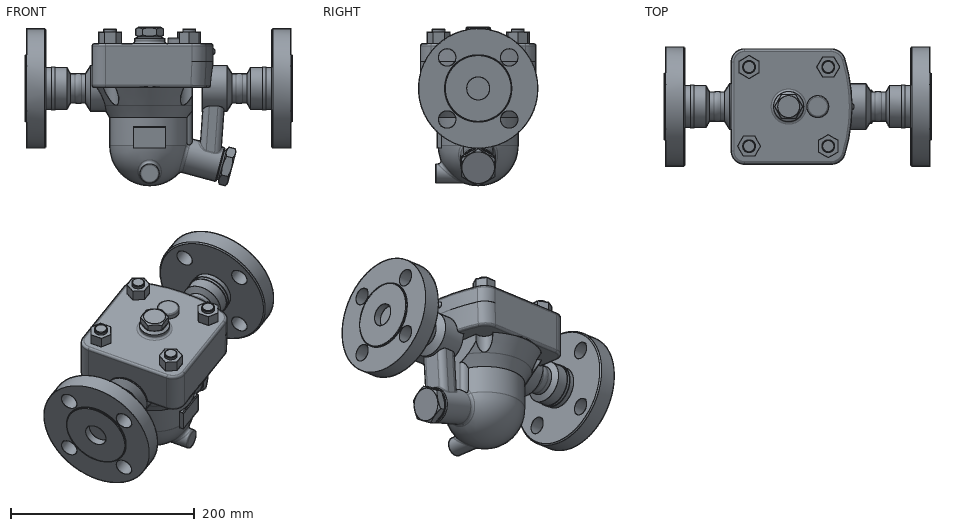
import cadquery as cq
import math


length = 291.0
flange_dia = 130.0
flange_thickness = 21.0
flange_edge_chamfer = 1.5
raised_face_dia = 73.3
raised_face_height = 1.7
raised_face_chamfer = 1.0
bore_dia = 25.0
bore_depth = 8.7
bolt_hole_dia = 19.0
bolt_circle_dia = 95.5

hub_dia = 46.0
hub_end = 99.8
hub_taper_end = 96.0
weld_ring_dia = 47.0
weld_ring_outer = 116.7
weld_ring_inner = 113.0
pipe_dia = 32.0
bead_dia = 33.2
bead_outer = 91.0
bead_inner = 83.8
socket_dia = 50.0
socket_taper_start = 79.7
socket_taper_end = 74.2
outlet_end = 47.0
inlet_end = 23.3

bowl_x = -10.0
block_left = -72.5
block_right = 59.0
block_half_width = 63.0
block_bottom = 1.0
split_z = 29.0
cover_top = 49.0
bulge_radius = 177.5
body_lean = 2.6
left_corner_radius = 14.5
right_corner_radius = 16.0
cover_edge_radius = 3.0
body_edge_radius = 2.5

stud_offset = 43.0
stud_dia = 14.0
stud_top = 65.0
stud_chamfer = 1.0
nut_corner_dia = 25.0
nut_height = 12.5

plug_ring_dia = 33.0
plug_ring_height = 5.2
plug_foot_dia = 38.0
plug_neck_dia = 25.0
plug_hex_bottom = 56.2
plug_top = 66.5
plug_corner_dia = 30.5
plug_chamfer_dia = 24.0
cover_boss_dia = 24.0
cover_boss_height = 6.0
cover_boss_edge = 1.5
cover_boss_offset = 31.7
nub_radius = 3.8
nub_x = 57.5
nub_z = 40.2

bowl_radius = 43.6
bowl_center_z = -62.3
neck_top_radius = 62.5
neck_seam_radius = 51.2
neck_seam_z = -18.5
bowl_rim_z = -31.7
scallop_dia = 19.0

pad_width = 35.0
pad_bottom = -64.5
pad_top = -41.3
pad_face_y = -44.8
pad_chamfer = 1.2
drain_dia = 21.0
drain_z = -92.5
drain_face_y = -46.3
drain_root_radius = 3.2
drain_edge_radius = 1.02

strainer_tilt = 15.0
strainer_dia = 38.0
strainer_length = 80.0
strainer_chamfer = 1.2
strainer_root_radius = 4.5
cap_seat_dia = 33.0
cap_start = 82.0
cap_end = 92.5
cap_corner_dia = 42.0
cap_chamfer_dia = 35.5
leg_width = 23.3
leg_thickness = 32.0
leg_corner_radius = 7.0
leg_center_x = 58.8
leg_center_z = -32.5
leg_tilt = 4.0
leg_above = 17.5
leg_below = 43.6
leg_root_radius = 1.5
rib_face_x = 36.7
rib_bottom = -64.0
rib_top = -21.8
gap_bottom = -54.5
gap_half_width = 40.7


def cylinder(dia, bottom, top, x=0.0, y=0.0):
    """Vertical cylinder between two heights."""
    return cq.Workplane("XY", origin=(x, y, bottom)).circle(dia / 2).extrude(top - bottom)


def stud_places():
    """Positions of the four studs around the bowl axis."""
    return [
        (bowl_x + x_side * stud_offset, y_side * stud_offset)
        for x_side in (-1, 1)
        for y_side in (-1, 1)
    ]


def hexagon(corner_dia, bottom, top, angle=0):
    """Hexagonal prism on the Z axis; at angle 0 two corners lie on X."""
    prism = cq.Workplane("XY", origin=(0, 0, bottom)).polygon(6, corner_dia).extrude(top - bottom)
    return prism.rotate((0, 0, 0), (0, 0, 1), angle)


def chamfered_hexagon(corner_dia, chamfer_dia, bottom, top):
    """Hexagonal head with the corners of both ends turned down by 30 degree cones."""
    drop = (corner_dia - chamfer_dia) / 2 * math.tan(math.radians(30))
    outer, inner = corner_dia / 2, chamfer_dia / 2
    points = [
        (0, bottom),
        (inner, bottom),
        (outer, bottom + drop),
        (outer, top - drop),
        (inner, top),
        (0, top),
    ]
    envelope = cq.Workplane("XZ").polyline(points).close().revolve(360, (0, 0), (0, 1))
    return hexagon(corner_dia, bottom, top).intersect(envelope)


def pipe_end(inner_end):
    """Flange, hub, pipe and socket on the +X side, starting at inner_end."""
    flange_front = length / 2 - raised_face_height
    flange_back = flange_front - flange_thickness
    flange_r, raised_r = flange_dia / 2, raised_face_dia / 2
    hub_r, ring_r, pipe_r = hub_dia / 2, weld_ring_dia / 2, pipe_dia / 2
    socket_r = socket_dia / 2
    bead_middle = ((bead_outer + bead_inner) / 2, bead_dia / 2)
    profile = (
        cq.Workplane("XY")
        .moveTo(inner_end, 0)
        .lineTo(inner_end, socket_r)
        .lineTo(socket_taper_end, socket_r)
        .lineTo(socket_taper_start, pipe_r)
        .lineTo(bead_inner, pipe_r)
        .threePointArc(bead_middle, (bead_outer, pipe_r))
        .lineTo(hub_taper_end, pipe_r)
        .lineTo(hub_end, hub_r)
        .lineTo(weld_ring_inner, hub_r)
        .lineTo(weld_ring_inner, ring_r)
        .lineTo(weld_ring_outer, ring_r)
        .lineTo(weld_ring_outer, hub_r)
        .lineTo(flange_back, hub_r)
        .lineTo(flange_back, flange_r - flange_edge_chamfer)
        .lineTo(flange_back + flange_edge_chamfer, flange_r)
        .lineTo(flange_front, flange_r)
        .lineTo(flange_front, raised_r)
        .lineTo(length / 2 - raised_face_chamfer, raised_r)
        .lineTo(length / 2, raised_r - raised_face_chamfer)
        .lineTo(length / 2, 0)
        .close()
    )
    solid = profile.revolve(360, (0, 0), (1, 0))
    bore = cq.Workplane("YZ", origin=(length / 2 - bore_depth, 0, 0)).circle(bore_dia / 2).extrude(bore_depth)
    bolt_holes = (
        cq.Workplane("YZ", origin=(flange_back, 0, 0))
        .polarArray(bolt_circle_dia / 2, 45, 360, 4)
        .circle(bolt_hole_dia / 2)
        .extrude(flange_thickness)
    )
    return solid.cut(bore).cut(bolt_holes)


def block_slab(bottom, top, lean=0):
    """Rounded slab with a bulged right side that leans inward towards its bottom."""
    slab = cq.Workplane("XY").box(
        block_right - block_left, 2 * block_half_width, top - bottom, centered=(False, True, False)
    )
    slab = slab.translate((block_left, 0, bottom))
    bulge = cylinder(2 * bulge_radius, bottom - block_half_width, top + block_half_width)
    bulge = bulge.translate((block_right - bulge_radius, 0, 0))
    bulge = bulge.rotate((block_right, 0, split_z), (block_right, 1, split_z), lean)
    slab = slab.intersect(bulge)
    for x_from, x_to, radius in (
        (block_left - 3, bowl_x, left_corner_radius),
        (bowl_x, block_right + 3, right_corner_radius),
    ):
        upright_edges = cq.selectors.BoxSelector(
            (x_from, -block_half_width - 3, bottom + 3), (x_to, block_half_width + 3, top - 3)
        )
        slab = slab.edges(upright_edges).fillet(radius)
    return slab


def block():
    """Cover on top of the body flange."""
    cover = block_slab(split_z, cover_top).faces(">Z").edges().fillet(cover_edge_radius)
    body = block_slab(block_bottom, split_z, body_lean).faces("<Z").edges().fillet(body_edge_radius)
    return cover.union(body)


def stud_and_nut(x, y, angle):
    """Hexagonal nut with the chamfered stud end standing out of it."""
    nut = hexagon(nut_corner_dia, cover_top, cover_top + nut_height, angle).translate((x, y, 0))
    stud = cylinder(stud_dia, cover_top, stud_top, x, y).faces(">Z").chamfer(stud_chamfer)
    return nut.union(stud)


def vent_plug():
    """Hexagonal plug on a ring that flares into the cover."""
    ring_r, foot_r, neck_r = plug_ring_dia / 2, plug_foot_dia / 2, plug_neck_dia / 2
    flare = foot_r - ring_r
    flare_middle = (foot_r - flare * math.sin(math.pi / 4), cover_top + flare * (1 - math.cos(math.pi / 4)))
    ring_top = cover_top + plug_ring_height
    seat = (
        cq.Workplane("XZ")
        .moveTo(0, cover_top)
        .lineTo(foot_r, cover_top)
        .threePointArc(flare_middle, (ring_r, cover_top + flare))
        .lineTo(ring_r, ring_top)
        .lineTo(neck_r, plug_hex_bottom)
        .lineTo(0, plug_hex_bottom)
        .close()
        .revolve(360, (0, 0), (0, 1))
    )
    head = chamfered_hexagon(plug_corner_dia, plug_chamfer_dia, plug_hex_bottom, plug_top)
    return seat.union(head).translate((bowl_x, 0, 0))


def cover_boss():
    boss_x = bowl_x + cover_boss_offset
    boss = cylinder(cover_boss_dia, cover_top, cover_top + cover_boss_height, boss_x)
    return boss.faces(">Z").edges().fillet(cover_boss_edge)


def side_nub():
    return cq.Workplane("XY").sphere(nub_radius).translate((nub_x, 0, nub_z))


def neck_and_bowl():
    """Flared neck, cone, straight wall and hemispherical bottom, scalloped below the studs."""
    root_top = block_bottom + body_edge_radius
    bottom_z = bowl_center_z - bowl_radius
    arc_middle = (bowl_radius * math.sin(math.pi / 4), bowl_center_z - bowl_radius * math.cos(math.pi / 4))
    solid = (
        cq.Workplane("XZ")
        .moveTo(0, root_top)
        .lineTo(neck_top_radius, root_top)
        .lineTo(neck_top_radius, block_bottom)
        .lineTo(neck_seam_radius, neck_seam_z)
        .lineTo(bowl_radius, bowl_rim_z)
        .lineTo(bowl_radius, bowl_center_z)
        .threePointArc(arc_middle, (0, bottom_z))
        .close()
        .revolve(360, (0, 0), (0, 1))
        .translate((bowl_x, 0, 0))
    )
    for x, y in stud_places():
        solid = solid.cut(cylinder(scallop_dia, bowl_rim_z, block_bottom, x, y))
    return solid


def side_rib():
    """Upright rib on the outlet side of the bowl, as wide as the leg and rounded like it."""
    rib = cq.Workplane("XY").box(
        rib_face_x - bowl_x, leg_thickness, rib_top - rib_bottom, centered=(False, True, False)
    )
    rib = rib.translate((bowl_x, 0, rib_bottom))
    return rib.faces(">X").edges("|Z").fillet(leg_corner_radius)


def outlet_gap():
    """Clearance between the neck and the outlet leg."""
    gap = cq.Workplane("XY").box(
        outlet_end - rib_face_x, 2 * gap_half_width, block_bottom - gap_bottom, centered=(False, True, False)
    )
    return gap.translate((rib_face_x, 0, gap_bottom))


def nameplate_pad():
    pad = cq.Workplane("XY").box(
        pad_width, -pad_face_y, pad_top - pad_bottom, centered=(True, False, False)
    )
    pad = pad.translate((bowl_x, pad_face_y, pad_bottom))
    return pad.faces("<Y").edges(">Z").chamfer(pad_chamfer)


def drain_boss():
    boss = (
        cq.Workplane("XZ", origin=(bowl_x, drain_face_y, drain_z))
        .circle(drain_dia / 2)
        .extrude(drain_face_y)
    )
    return boss.faces("<Y").edges().fillet(drain_edge_radius)


def along_strainer(solid):
    """Turn a solid standing on +Z onto the strainer axis through the bowl centre."""
    tilted = solid.rotate((0, 0, 0), (0, 1, 0), 90 + strainer_tilt)
    return tilted.translate((bowl_x, 0, bowl_center_z))


def strainer_boss():
    boss = cylinder(strainer_dia, 0, strainer_length).faces(">Z").chamfer(strainer_chamfer)
    return along_strainer(boss)


def strainer_cap():
    seat = cylinder(cap_seat_dia, strainer_length, cap_start)
    head = chamfered_hexagon(cap_corner_dia, cap_chamfer_dia, cap_start, cap_end)
    return along_strainer(seat.union(head))


def outlet_leg():
    """Leaning leg of rounded section from the strainer boss to the outlet socket."""
    leg = (
        cq.Workplane("XY", origin=(0, 0, -leg_below))
        .rect(leg_width, leg_thickness)
        .extrude(leg_below + leg_above)
        .edges("|Z")
        .fillet(leg_corner_radius)
    )
    leg = leg.rotate((0, 0, 0), (0, 1, 0), leg_tilt)
    return leg.translate((leg_center_x, 0, leg_center_z))


drain_root = cq.selectors.BoxSelector(
    (bowl_x - drain_dia, drain_face_y + 3, drain_z - drain_dia),
    (bowl_x + drain_dia, -3, drain_z + drain_dia),
)
strainer_root = cq.selectors.BoxSelector(
    (bowl_x + bowl_radius - strainer_dia / 2, -strainer_dia, bowl_center_z - strainer_dia),
    (bowl_x + bowl_radius + 3, strainer_dia, bowl_center_z + strainer_dia / 2),
)
vessel = neck_and_bowl().union(drain_boss())
vessel = vessel.edges(drain_root).fillet(drain_root_radius)
vessel = vessel.union(strainer_boss())
vessel = vessel.edges(strainer_root).fillet(strainer_root_radius)
vessel = vessel.union(nameplate_pad())

inlet = pipe_end(inlet_end).mirror("YZ")
outlet = pipe_end(outlet_end)

result = block().union(inlet).union(vessel)
result = result.union(side_rib()).cut(outlet_gap())
result = result.union(outlet).union(outlet_leg())
leg_root = cq.selectors.BoxSelector(
    (outlet_end - 5.8, -leg_thickness, gap_bottom - leg_width / 2),
    (leg_center_x + leg_width, leg_thickness, gap_bottom + 3),
)
result = result.edges(leg_root).fillet(leg_root_radius)
result = result.union(strainer_cap())
result = result.union(vent_plug()).union(cover_boss()).union(side_nub())
for x, y in stud_places():
    nut_angle = 0 if (x - bowl_x) * y > 0 else 30
    result = result.union(stud_and_nut(x, y, nut_angle))